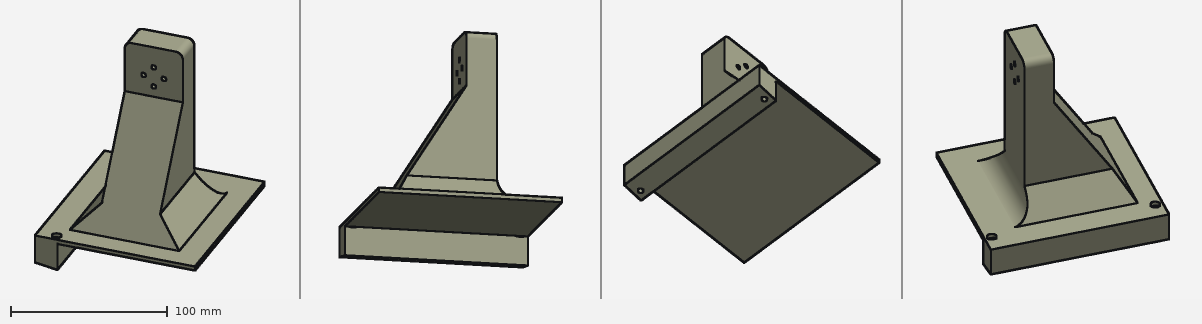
import cadquery as cq
import math

plate_length = 110.0
plate_width = 120.0
plate_thickness = 3.0

overall_height = 137.0
post_height = 115.0
lip_width = 15.5
lip_outer_depth = 19.7
lip_inner_depth = overall_height - post_height

post_center_x = plate_length / 2 + 0.5
post_width = 40.0
post_depth = 20.0
post_corner_radius = 5.0
front_wall_height = 36.0
foot_flare = 17.5
foot_back_y = plate_width - 22.5
back_curve_radius = 14.0
back_curve_reach = 12.0
foot_front_y = 15.2
post_back_y = foot_back_y - back_curve_reach
post_front_y = post_back_y - post_depth

post_hole_diameter = 3.0
post_hole_circle_radius = 7.0
post_hole_center_z = post_height - 21.6

screw_x = 13.0
screw_edge_distance = 5.1
screw_diameter = 3.5
screw_head_diameter = 6.0
screw_head_depth = 3.0
screw_tilt = math.atan2(lip_inner_depth - lip_outer_depth, lip_width)
cut_margin = 6.8


def make_base():
    """Plate and lip as one outline swept along Y."""
    return (
        cq.Workplane("XZ")
        .moveTo(0, 0)
        .lineTo(plate_length, 0)
        .lineTo(plate_length, -plate_thickness)
        .lineTo(lip_width, -plate_thickness)
        .lineTo(lip_width, -lip_inner_depth)
        .lineTo(0, -lip_outer_depth)
        .close()
        .extrude(-plate_width)
    )


def make_post():
    """Intersection of the post's front outline and its side outline."""
    half_post = post_width / 2
    half_foot = half_post + foot_flare
    front_outline = (
        cq.Workplane("XZ")
        .moveTo(post_center_x - half_foot, -plate_thickness)
        .lineTo(post_center_x - half_foot, 0)
        .lineTo(post_center_x - half_post, foot_flare)
        .lineTo(post_center_x - half_post, post_height)
        .lineTo(post_center_x + half_post, post_height)
        .lineTo(post_center_x + half_post, foot_flare)
        .lineTo(post_center_x + half_foot, 0)
        .lineTo(post_center_x + half_foot, -plate_thickness)
        .close()
        .extrude(-plate_width)
        .edges("|Y and >Z")
        .fillet(post_corner_radius)
    )
    curve_center_y = post_back_y + back_curve_radius
    curve_center_z = math.sqrt(back_curve_radius**2 - (back_curve_radius - back_curve_reach) ** 2)
    diagonal = back_curve_radius * math.sqrt(0.5)
    side_outline = (
        cq.Workplane("YZ")
        .moveTo(foot_front_y, -plate_thickness)
        .lineTo(foot_front_y, 0)
        .lineTo(post_front_y, post_height - front_wall_height)
        .lineTo(post_front_y, post_height)
        .lineTo(post_back_y, post_height)
        .lineTo(post_back_y, curve_center_z)
        .threePointArc((curve_center_y - diagonal, curve_center_z - diagonal), (foot_back_y, 0))
        .lineTo(foot_back_y, -plate_thickness)
        .close()
        .extrude(plate_length)
    )
    return front_outline.intersect(side_outline)


def make_post_holes():
    return (
        cq.Workplane("XZ", origin=(post_center_x, 0, post_hole_center_z))
        .polarArray(post_hole_circle_radius, 0, 360, 4)
        .circle(post_hole_diameter / 2)
        .extrude(-plate_width)
    )


def make_screw_hole(y):
    """Counterbored cutter, tilted about the centre of its mouth on the plate's top face."""
    axis = cq.Vector(-math.sin(screw_tilt), 0, -math.cos(screw_tilt))
    mouth = cq.Vector(screw_x, y, 0)
    start = mouth - axis * cut_margin
    head = cq.Solid.makeCylinder(screw_head_diameter / 2, cut_margin + screw_head_depth, start, axis)
    shank = cq.Solid.makeCylinder(screw_diameter / 2, lip_inner_depth + 2 * cut_margin, start, axis)
    return head.fuse(shank)


result = make_base().union(make_post()).cut(make_post_holes())
for screw_y in (screw_edge_distance, plate_width - screw_edge_distance):
    result = result.cut(cq.Workplane(obj=make_screw_hole(screw_y)))